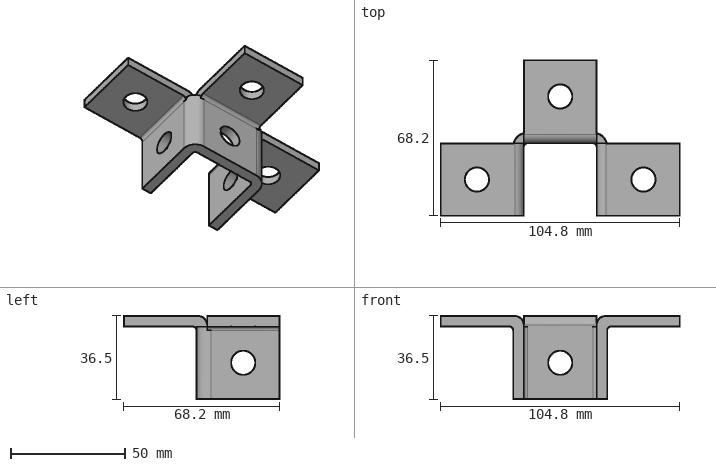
import cadquery as cq

length = 104.8
depth = 68.2
height = 36.5
thickness = 4.7
hole_diameter = 10.5
inner_bend_radius = 1.6
flange_outer_radius = 4.0

gap = length - 2 * height
wall_y = depth - height
corner_top = height - thickness
corner_outer_radius = inner_bend_radius + thickness
bend_x = gap / 2 - inner_bend_radius
bend_y = wall_y - inner_bend_radius
hole_offset = gap / 2
cut_length = 2 * length


def make_angle(width):
    """Bent angle: wall face at X = 0, flange toward +X, front edge at Y = 0."""
    profile = (
        cq.Workplane("XZ")
        .polyline([
            (0, 0),
            (thickness, 0),
            (thickness, corner_top),
            (height, corner_top),
            (height, height),
            (0, height),
        ])
        .close()
    )
    angle = profile.extrude(-width)
    angle = angle.edges(cq.NearestToPointSelector((0, width / 2, height))).fillet(flange_outer_radius)
    inner_edge = cq.NearestToPointSelector((thickness, width / 2, corner_top))
    return angle.edges(inner_edge).fillet(inner_bend_radius)


def make_corner():
    """Upright round corner joining the right side wall to the back wall."""
    outer_quarter = (
        cq.Workplane("XY")
        .moveTo(bend_x, bend_y)
        .lineTo(bend_x + corner_outer_radius, bend_y)
        .radiusArc((bend_x, bend_y + corner_outer_radius), -corner_outer_radius)
        .close()
        .extrude(corner_top)
    )
    inner_round = cq.Workplane("XY").center(bend_x, bend_y).circle(inner_bend_radius).extrude(corner_top)
    return outer_quarter.cut(inner_round)


def make_corner_trim():
    """Waste outside the right corner's arc, up to where the flange bends start."""
    trim_height = corner_top - inner_bend_radius
    square = (
        cq.Workplane("XY")
        .center(bend_x, bend_y)
        .rect(corner_outer_radius, corner_outer_radius, centered=False)
        .extrude(trim_height)
    )
    arc_body = cq.Workplane("XY").center(bend_x, bend_y).circle(corner_outer_radius).extrude(trim_height)
    return square.cut(arc_body)


def make_hole(plane, x, y, z):
    """Round cutter running both ways from a point along the plane's normal."""
    return cq.Workplane(plane, origin=(x, y, z)).circle(hole_diameter / 2).extrude(cut_length, both=True)


right_angle = make_angle(wall_y).translate((gap / 2, 0, 0))
left_angle = right_angle.mirror("YZ")

back_angle = make_angle(gap).rotate((0, 0, 0), (0, 0, 1), 90).translate((gap / 2, wall_y, 0))

right_corner = make_corner()
left_corner = right_corner.mirror("YZ")

result = back_angle
for piece in (right_corner, left_corner, right_angle, left_angle):
    result = result.union(piece)

corner_trim = make_corner_trim()
result = result.cut(corner_trim).cut(corner_trim.mirror("YZ"))

flange_x = length / 2 - hole_offset
for hole in (
    make_hole("XY", flange_x, hole_offset, 0),
    make_hole("XY", -flange_x, hole_offset, 0),
    make_hole("XY", 0, depth - hole_offset, 0),
    make_hole("YZ", 0, hole_offset, hole_offset),
    make_hole("XZ", 0, wall_y, hole_offset),
):
    result = result.cut(hole)